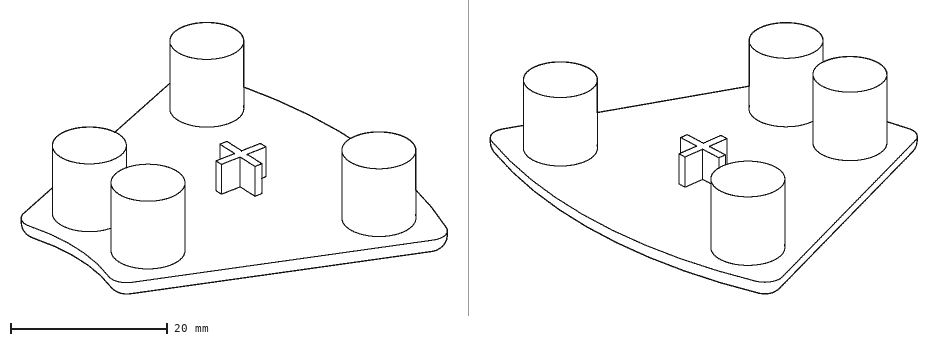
import cadquery as cq
import math

sector_angle = 45.0
inner_radius = 27.0
outer_radius = 72.0
corner_radius = 2.5
plate_thickness = 2.5
bottom_fillet = 1.85

pin_diameter = 9.5
pin_height = 10.0
pin_inset = 7.3
inner_pin_distance = 15.9
outer_pin_distance = 46.6

cross_distance = 53.7
cross_length = 7.25
cross_width = 1.15
cross_height = 4.4

middle_angle = 90 - sector_angle / 2
side_angles = (90, 90 - sector_angle)


def polar(radius, angle):
    """Point at a radius and an angle in degrees from +X."""
    a = math.radians(angle)
    return (radius * math.cos(a), radius * math.sin(a))


def make_plate():
    first_side, second_side = side_angles
    plate = (
        cq.Workplane("XY")
        .moveTo(*polar(inner_radius, first_side))
        .lineTo(*polar(outer_radius, first_side))
        .threePointArc(polar(outer_radius, middle_angle), polar(outer_radius, second_side))
        .lineTo(*polar(inner_radius, second_side))
        .threePointArc(polar(inner_radius, middle_angle), polar(inner_radius, first_side))
        .close()
        .extrude(plate_thickness)
    )
    return plate.edges("|Z").fillet(corner_radius).faces("<Z").edges().fillet(bottom_fillet)


def make_pins():
    row_start = pin_inset / math.sin(math.radians(sector_angle / 2))
    start_x, start_y = polar(row_start, middle_angle)
    centers = []
    for angle in side_angles:
        for distance in (inner_pin_distance, outer_pin_distance):
            x, y = polar(distance, angle)
            centers.append((start_x + x, start_y + y))
    return (
        cq.Workplane("XY", origin=(0, 0, plate_thickness))
        .pushPoints(centers)
        .circle(pin_diameter / 2)
        .extrude(pin_height)
    )


def make_cross():
    post = cq.Workplane("XY").rect(cross_length, cross_width).extrude(cross_height)
    post = post.union(cq.Workplane("XY").rect(cross_width, cross_length).extrude(cross_height))
    x, y = polar(cross_distance, middle_angle)
    return post.rotate((0, 0, 0), (0, 0, 1), middle_angle).translate((x, y, plate_thickness))


result = make_plate().union(make_pins()).union(make_cross())